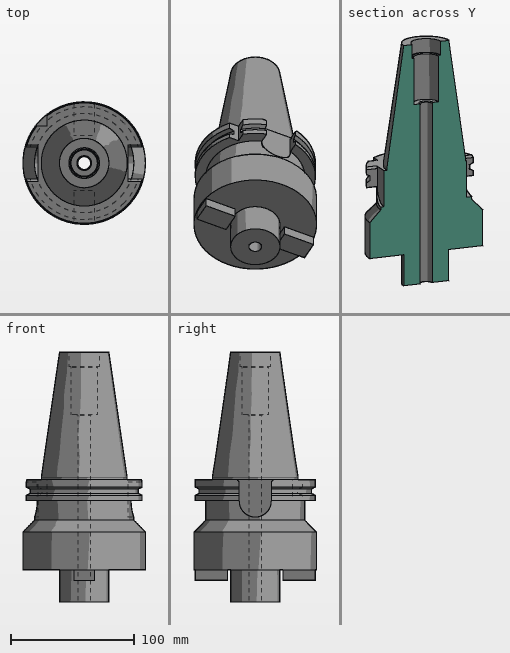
import cadquery as cq

total_height = 202.8
taper_base_z = 101.2
flange_top_z = 99.3
groove_top_z = 93.3
groove_bottom_z = 86.5
groove_flank_height = 1.6
flange_bottom_z = 82.3
neck_bottom_z = 66.5
body_top_z = 56.8
body_bottom_z = 26.2

gauge_diameter = 69.7
taper_ratio = 7 / 24
taper_top_diameter = gauge_diameter - taper_ratio * (total_height - taper_base_z)
flange_diameter = 97.5
groove_diameter = 91.5
neck_diameter = 80.5
body_diameter = 99.5
spigot_diameter = 40.0

counterbore_diameter = 25.0
counterbore_depth = 11.5
thread_bore_diameter = 21.3
thread_bore_depth = 50.7
through_bore_diameter = 10.3
step_chamfer = 0.8

slot_width = 26.0
slot_bottom_z = 69
slot_mouth_chamfer = 1.8
left_slot_floor = 37.5
right_slot_floor = 35.5

notch_offset = 30.2
key_width = 16.6
key_inner_y = 22.3
key_outer_y = 48.7
key_height = 8.5


def turned_body():
    taper_top_radius = taper_top_diameter / 2
    gauge_radius = gauge_diameter / 2
    flange_radius = flange_diameter / 2
    groove_radius = groove_diameter / 2
    neck_radius = neck_diameter / 2
    body_radius = body_diameter / 2
    spigot_radius = spigot_diameter / 2
    outline = [
        (0, 0),
        (spigot_radius, 0),
        (spigot_radius, body_bottom_z),
        (body_radius, body_bottom_z),
        (body_radius, body_top_z),
        (neck_radius, neck_bottom_z),
        (neck_radius, flange_bottom_z),
        (flange_radius, flange_bottom_z),
        (flange_radius, groove_bottom_z),
        (groove_radius, groove_bottom_z + groove_flank_height),
        (groove_radius, groove_top_z - groove_flank_height),
        (flange_radius, groove_top_z),
        (flange_radius, flange_top_z),
        (gauge_radius, flange_top_z),
        (gauge_radius, taper_base_z),
        (taper_top_radius, total_height),
        (0, total_height),
    ]
    return cq.Workplane("XZ").polyline(outline).close().revolve(360, (0, 0), (0, 1))


def stepped_bore():
    counterbore_radius = counterbore_diameter / 2
    thread_radius = thread_bore_diameter / 2
    through_radius = through_bore_diameter / 2
    counterbore_floor_z = total_height - counterbore_depth
    thread_floor_z = total_height - thread_bore_depth
    outline = [
        (0, 0),
        (through_radius, 0),
        (through_radius, thread_floor_z - step_chamfer),
        (through_radius + step_chamfer, thread_floor_z),
        (thread_radius, thread_floor_z),
        (thread_radius, counterbore_floor_z - step_chamfer),
        (thread_radius + step_chamfer, counterbore_floor_z),
        (counterbore_radius, counterbore_floor_z),
        (counterbore_radius, total_height),
        (0, total_height),
    ]
    return cq.Workplane("XZ").polyline(outline).close().revolve(360, (0, 0), (0, 1))


def drive_slot(side, floor_distance):
    """Round-bottomed slot on the +X (side = 1) or -X (side = -1) face."""
    half_width = slot_width / 2
    mouth_half_width = half_width + slot_mouth_chamfer
    chamfer_z = flange_top_z - slot_mouth_chamfer
    arc_center_z = slot_bottom_z + half_width
    cut_length = body_diameter / 2 - floor_distance
    return (
        cq.Workplane("YZ", origin=(side * floor_distance, 0, 0))
        .moveTo(-mouth_half_width, flange_top_z)
        .lineTo(-half_width, chamfer_z)
        .lineTo(-half_width, arc_center_z)
        .threePointArc((0, slot_bottom_z), (half_width, arc_center_z))
        .lineTo(half_width, chamfer_z)
        .lineTo(mouth_half_width, flange_top_z)
        .close()
        .extrude(side * cut_length)
    )


def orientation_notch():
    notch_size = flange_diameter / 2 - notch_offset
    notch_height = flange_top_z - flange_bottom_z
    return (
        cq.Workplane("XY")
        .box(notch_size, notch_size, notch_height, centered=False)
        .translate((-notch_offset - notch_size, notch_offset, flange_bottom_z))
    )


def drive_key(side):
    key_length = key_outer_y - key_inner_y
    key_center_y = side * (key_inner_y + key_outer_y) / 2
    return (
        cq.Workplane("XY", origin=(0, key_center_y, body_bottom_z))
        .rect(key_width, key_length)
        .extrude(-key_height)
    )


result = turned_body()
for key_side in (-1, 1):
    result = result.union(drive_key(key_side))
result = result.cut(stepped_bore())
result = result.cut(drive_slot(-1, left_slot_floor))
result = result.cut(drive_slot(1, right_slot_floor))
result = result.cut(orientation_notch())